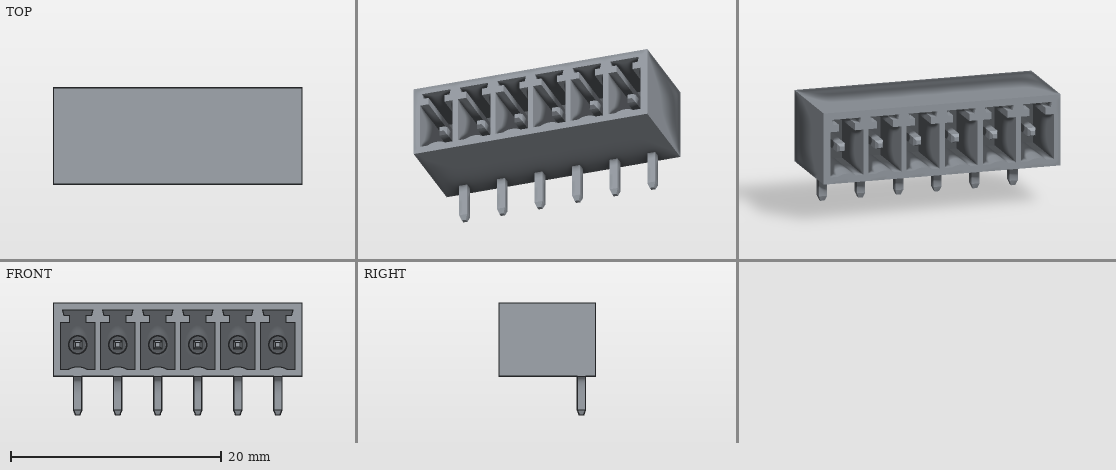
import cadquery as cq

length = 23.65
depth = 9.2
height = 7.0
total_height = 10.7

contact_count = 6
pitch = 3.8
contact_xs = [(i - (contact_count - 1) / 2) * pitch for i in range(contact_count)]

cavity_depth = 6.62
cavity_width = 3.3
floor_z = 0.66
shoulder_z = 5.1
slot_floor_z = 5.8
top_wall = 0.69
slot_top_z = height - top_wall
neck_width = 1.6
slot_floor_width = 2.63
slot_top_width = 2.89

rib_width = 1.8
rib_height = 0.24

pin_size = 0.8
tip_size = 0.43
tip_length = 0.5
pin_z = 3.0
pin_front_y = 1.4
leg_inset = 1.35
leg_y = depth - leg_inset

collar_base_diameter = 1.75
collar_end_diameter = 1.65
collar_length = 0.24


def cavity(x):
    """T-slotted cavity with a rounded rib rising from its floor."""
    half = cavity_width / 2
    right_side = [
        (half, floor_z),
        (half, shoulder_z),
        (neck_width / 2, shoulder_z),
        (neck_width / 2, slot_floor_z),
        (slot_floor_width / 2, slot_floor_z),
        (slot_top_width / 2, slot_top_z),
    ]
    left_side = [(-px, pz) for px, pz in reversed(right_side)]
    outline = cq.Workplane("XZ", origin=(x, 0, 0)).moveTo(rib_width / 2, floor_z)
    for point in right_side + left_side:
        outline = outline.lineTo(*point)
    return (
        outline.lineTo(-rib_width / 2, floor_z)
        .threePointArc((0, floor_z + rib_height), (rib_width / 2, floor_z))
        .close()
        .extrude(-cavity_depth)
    )


def tapered_bar(plane, bar_length):
    """Square bar starting on the plane and ending in a pyramidal tip."""
    shank_length = bar_length - tip_length
    shank = cq.Workplane(plane).rect(pin_size, pin_size).extrude(shank_length)
    tip = (
        cq.Workplane(plane)
        .workplane(offset=shank_length)
        .rect(pin_size, pin_size)
        .workplane(offset=tip_length)
        .rect(tip_size, tip_size)
        .loft(ruled=True)
    )
    return shank.union(tip)


def contact(x):
    """Bent pin: a horizontal arm in the cavity and a vertical solder leg."""
    bend = (x, leg_y, pin_z)
    arm = tapered_bar(cq.Plane(bend, xDir=(1, 0, 0), normal=(0, -1, 0)), leg_y - pin_front_y)
    leg_length = pin_z + total_height - height
    leg = tapered_bar(cq.Plane(bend, xDir=(1, 0, 0), normal=(0, 0, -1)), leg_length)
    return arm.union(leg)


def collar(x):
    """Tapered round collar standing on the rear wall of the cavity."""
    return (
        cq.Workplane("XZ", origin=(x, cavity_depth, pin_z))
        .circle(collar_base_diameter / 2)
        .workplane(offset=collar_length)
        .circle(collar_end_diameter / 2)
        .loft(ruled=True)
    )


result = cq.Workplane("XY").box(length, depth, height, centered=(True, False, False))
for contact_x in contact_xs:
    result = result.cut(cavity(contact_x))
for contact_x in contact_xs:
    result = result.union(collar(contact_x)).union(contact(contact_x))